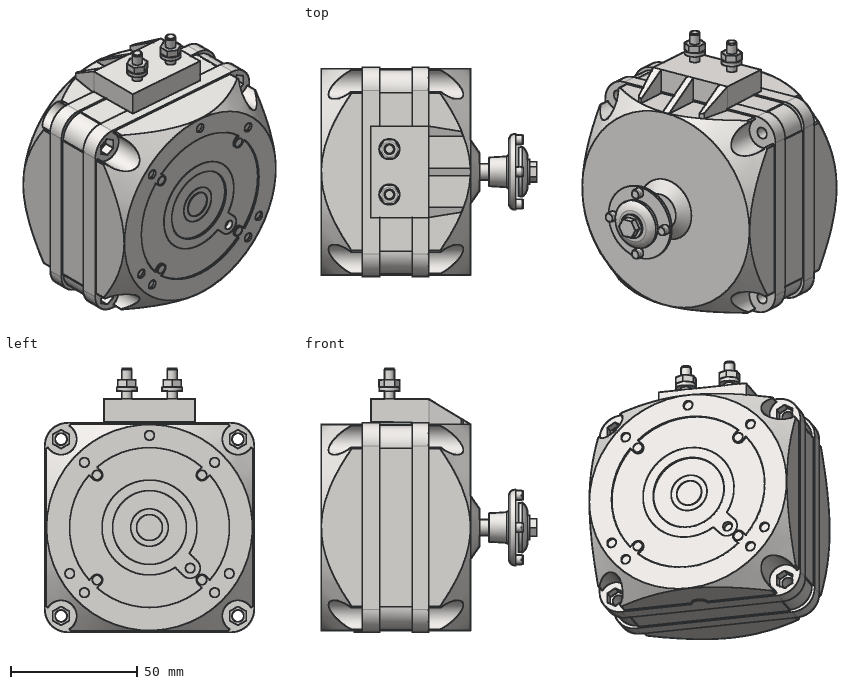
import cadquery as cq
import math


BODY_LENGTH = 59.3
CAP_HALF = 40.9
CONE_RADIUS = 40.8
CONE_GROWTH = 0.88
FLANGE_HALF = 41.5
FLANGE_CORNER = 9.1
REAR_FLANGE_X = (16.3, 23.3)
FRONT_FLANGE_X = (36.1, 42.6)
MIDDLE_HALF = 40.4
MIDDLE_CORNER = 9.1
MIDDLE_FLAT_HALF_WIDTH = MIDDLE_HALF - MIDDLE_CORNER

BOLT_OFFSET = 35.0
BOLT_HOLE_RADIUS = 2.3
BOLT_HEX_FLATS = 6.5
BOLT_HEX_DEPTH = 4.4
SCALLOP_RADIUS = 6.2
RELIEF_INNER = 31.8
RELIEF_CHAMFER = 0.6

MOUNT_CIRCLE = 36.5
MOUNT_ANGLES = (45, 90, 135, 210, 225, 315, 330)
SMALL_HOLE_RADIUS = 1.9
MOUNT_HOLE_DEPTH = 1.0
TAB_HOLE_DEPTH = 0.2
LUG_HOLE_DEPTH = 3.1
RECESS_RADIUS = 31.7
RECESS_DEPTH = 0.8
TAB_CIRCLE = 29.4
TAB_ANGLES = (45, 135, 225, 315)
TAB_RADIUS = 2.2
SEAT_RADIUS = 18.8
SEAT_HEIGHT = 0.1
LUG_CIRCLE = 22.8
LUG_ANGLE = 225
LUG_RADIUS = 4.0
BEARING_POCKET_RADIUS = 14.6
BEARING_POCKET_DEPTH = 0.8
RING_RADIUS = 7.4
RING_HEIGHT = 0.1
SHAFT_RECESS_RADIUS = 5.1
SHAFT_RECESS_DEPTH = 0.3

PAD_RADIUS = 3.2
PAD_HEIGHT = 9.4

BLOCK_REAR_X = 19.8
BLOCK_HALF_WIDTH = 18.1
BLOCK_TOP = 50.9
BLOCK_REAR_BOTTOM = 41.8
RIB_INNER_Y = 14.1
RIB_OUTER_END = (55.5, 16.0)
RIB_INNER_END_X = 56.3
CENTER_RIB_WIDTH = 3.0
RIB_ROOT = 39.7
RIB_ROOT_SETBACK = 2.1

STUD_X = 27.1
STUD_Y = 9.0
STUD_RADIUS = 2.04
STUD_TOP = 63.0
STUD_CHAMFER = (0.6, 0.3)
WASHER_RADIUS = 4.1
WASHER_BOTTOM = 54.0
NUT_BOTTOM = 55.6
NUT_TOP = 58.5
NUT_CORNER_DIAMETER = 8.4
NUT_FACE_RADIUS = 3.0
NUT_CHAMFER_HEIGHT = 0.1

BOSS_END_X = 62.8
HUB_X = 66.4
FLARE_X = 73.5
DISC_X = 74.3
DISC_END_X = 77.1
DOME_X = 78.2
DOME_EDGE_X = 79.7
DOME_END_X = 81.8
COLLAR_END_X = 82.7
SHAFT_END_X = 85.5
SHAFT_RADIUS = 3.2
BOSS_RADII = (12.5, 7.4)
HUB_RADIUS = 5.7
HUB_CHAMFER = 0.3
FLARE_RADII = (6.2, 6.8)
DISC_FACE_RADIUS = 13.1
DISC_BEVEL_END = (74.9, 14.2)
DISC_RIM_MIDDLE = (75.8, 14.8)
DISC_RADIUS = 15.0
DOME_BACK_RADIUS = 9.7
DOME_RADIUS = 9.9
DOME_MIDDLE = (81.0, 8.6)
DOME_END_RADIUS = 6.5
COLLAR_RADIUS = 4.9
END_NUT_CORNER_DIAMETER = 8.0
SPINDLE_RADIUS = 1.6
PIN_CIRCLE = 12.7
PIN_ANGLES = (0, 90, 180, 270)
PIN_RADIUS = 1.93
PIN_TIP_X = 79.2
PIN_END_X = 80.0
PIN_TIP_RADIUS = 1.7


def polar(radius, angle):
    """Point at an angle on a circle around the motor axis, as (y, z)."""
    return (radius * math.cos(math.radians(angle)), radius * math.sin(math.radians(angle)))


def rod(x_start, x_end, radius, points=((0, 0),)):
    """Cylinders along X, one centred on each (y, z) point."""
    section = cq.Workplane("YZ", origin=(x_start, 0, 0)).pushPoints(points).circle(radius)
    return section.extrude(x_end - x_start)


def square_bar(x_start, x_end, half):
    return cq.Workplane("YZ", origin=(x_start, 0, 0)).rect(2 * half, 2 * half).extrude(x_end - x_start)


def rounded_bar(x_range, half, corner):
    return square_bar(*x_range, half).edges("|X").fillet(corner)


def turned(profile):
    """Revolve a closed (x, radius) outline about the motor axis."""
    return profile.close().revolve(360, (0, 0, 0), (1, 0, 0))


BOLT_POINTS = [(y, z) for y in (-BOLT_OFFSET, BOLT_OFFSET) for z in (-BOLT_OFFSET, BOLT_OFFSET)]


def make_corner_relief(depth):
    """Cutter for the cap corner beyond one scallop, widening at 45 degrees at the cap faces."""
    chamfer_start = CAP_HALF - RELIEF_CHAMFER
    chamfer_drop = FLANGE_HALF - chamfer_start
    return (
        cq.Workplane("YZ")
        .moveTo(RELIEF_INNER, RELIEF_INNER)
        .lineTo(chamfer_start, RELIEF_INNER)
        .lineTo(FLANGE_HALF, RELIEF_INNER - chamfer_drop)
        .lineTo(FLANGE_HALF, FLANGE_HALF)
        .lineTo(RELIEF_INNER - chamfer_drop, FLANGE_HALF)
        .lineTo(RELIEF_INNER, chamfer_start)
        .close()
        .extrude(depth)
    )


def make_cap(depth):
    """End cap with its round face at x = 0, growing along +X."""
    cone = turned(
        cq.Workplane("XY")
        .lineTo(0, CONE_RADIUS)
        .lineTo(depth, CONE_RADIUS + CONE_GROWTH * depth)
        .lineTo(depth, 0)
    )
    cap = square_bar(0, depth, CAP_HALF).intersect(cone).cut(rod(0, depth, SCALLOP_RADIUS, BOLT_POINTS))
    relief = make_corner_relief(depth)
    for quarter in range(4):
        cap = cap.cut(relief.rotate((0, 0, 0), (1, 0, 0), 90 * quarter))
    return cap


def make_middle():
    """Round-cornered middle section; its four flats stand slightly proud, level with the caps."""
    start, end = REAR_FLANGE_X[1], FRONT_FLANGE_X[0]
    middle = rounded_bar((start, end), MIDDLE_HALF, MIDDLE_CORNER)
    section = cq.Workplane("YZ", origin=(start, 0, 0))
    tall_flats = section.rect(2 * MIDDLE_FLAT_HALF_WIDTH, 2 * CAP_HALF).extrude(end - start)
    wide_flats = section.rect(2 * CAP_HALF, 2 * MIDDLE_FLAT_HALF_WIDTH).extrude(end - start)
    return middle.union(tall_flats).union(wide_flats)


def make_housing():
    rear_cap = make_cap(REAR_FLANGE_X[0])
    front_cap = make_cap(BODY_LENGTH - FRONT_FLANGE_X[1]).mirror("YZ").translate((BODY_LENGTH, 0, 0))
    housing = make_middle()
    for flange_x in (REAR_FLANGE_X, FRONT_FLANGE_X):
        housing = housing.union(rounded_bar(flange_x, FLANGE_HALF, FLANGE_CORNER))
    pad = (
        cq.Workplane("XY", origin=(REAR_FLANGE_X[0], 0, -FLANGE_HALF))
        .circle(PAD_RADIUS)
        .extrude(PAD_HEIGHT)
    )
    return housing.union(rear_cap).union(front_cap).union(pad)


def cut_bolt_holes(housing):
    hexagon = cq.Sketch().regularPolygon(BOLT_HEX_FLATS / math.sqrt(3), 6)
    hex_pockets = (
        cq.Workplane("YZ", origin=(REAR_FLANGE_X[0], 0, 0))
        .pushPoints(BOLT_POINTS)
        .placeSketch(hexagon)
        .extrude(BOLT_HEX_DEPTH)
    )
    return housing.cut(rod(0, BODY_LENGTH, BOLT_HOLE_RADIUS, BOLT_POINTS)).cut(hex_pockets)


def radial_slot(depth, x_start, angle, inner, outer, radius):
    """Round-ended bar along a radius of the rear face; inner and outer locate the centres of its ends."""
    return (
        cq.Workplane("YZ", origin=(x_start, 0, 0))
        .transformed(rotate=(0, 0, angle))
        .center((inner + outer) / 2, 0)
        .slot2D(outer - inner + 2 * radius, 2 * radius)
        .extrude(depth)
    )


def cut_rear_face(housing):
    recess = rod(0, RECESS_DEPTH, RECESS_RADIUS)
    seat_x = RECESS_DEPTH - SEAT_HEIGHT
    lug = radial_slot(SEAT_HEIGHT, seat_x, LUG_ANGLE, 0, LUG_CIRCLE, LUG_RADIUS)
    recess = recess.cut(rod(seat_x, RECESS_DEPTH, SEAT_RADIUS)).cut(lug)
    for angle in TAB_ANGLES:
        recess = recess.cut(radial_slot(RECESS_DEPTH, 0, angle, TAB_CIRCLE, MOUNT_CIRCLE, TAB_RADIUS))

    pocket_x = seat_x + BEARING_POCKET_DEPTH
    pocket = rod(seat_x, pocket_x, BEARING_POCKET_RADIUS)
    ring = rod(pocket_x - RING_HEIGHT, pocket_x, RING_RADIUS)
    shaft_recess = rod(0, pocket_x - RING_HEIGHT + SHAFT_RECESS_DEPTH, SHAFT_RECESS_RADIUS)

    mount_points = [polar(MOUNT_CIRCLE, angle) for angle in MOUNT_ANGLES]
    mount_holes = rod(0, MOUNT_HOLE_DEPTH, SMALL_HOLE_RADIUS, mount_points)
    tab_points = [polar(TAB_CIRCLE, angle) for angle in TAB_ANGLES]
    tab_holes = rod(0, TAB_HOLE_DEPTH, SMALL_HOLE_RADIUS, tab_points)
    lug_hole = rod(0, LUG_HOLE_DEPTH, SMALL_HOLE_RADIUS, [polar(LUG_CIRCLE, LUG_ANGLE)])

    for cutter in (recess, pocket.cut(ring), shaft_recess, mount_holes, tab_holes, lug_hole):
        housing = housing.cut(cutter)
    return housing


def make_terminal_block():
    block_front = FRONT_FLANGE_X[1]
    block = (
        cq.Workplane("XZ")
        .moveTo(BLOCK_REAR_X, BLOCK_REAR_BOTTOM)
        .lineTo(BLOCK_REAR_X, BLOCK_TOP)
        .lineTo(block_front, BLOCK_TOP)
        .lineTo(block_front, FLANGE_HALF)
        .close()
        .extrude(BLOCK_HALF_WIDTH, both=True)
    )
    slope = (
        cq.Workplane("XZ")
        .moveTo(block_front, RIB_ROOT)
        .lineTo(block_front, BLOCK_TOP)
        .lineTo(BODY_LENGTH, CAP_HALF)
        .lineTo(BODY_LENGTH - RIB_ROOT_SETBACK, RIB_ROOT)
        .close()
        .extrude(BLOCK_HALF_WIDTH, both=True)
    )
    side_rib = (
        cq.Workplane("XY", origin=(0, 0, RIB_ROOT))
        .moveTo(block_front, RIB_INNER_Y)
        .lineTo(RIB_INNER_END_X, RIB_INNER_Y)
        .lineTo(*RIB_OUTER_END)
        .lineTo(block_front, BLOCK_HALF_WIDTH)
        .close()
        .extrude(BLOCK_TOP - RIB_ROOT)
    )
    center_rib = (
        cq.Workplane("XY", origin=(block_front, 0, RIB_ROOT))
        .rect(2 * (BODY_LENGTH - block_front), CENTER_RIB_WIDTH)
        .extrude(BLOCK_TOP - RIB_ROOT)
    )
    ribs = side_rib.union(side_rib.mirror("XZ")).union(center_rib)
    return block.union(ribs.intersect(slope))


STUD_POINTS = [(STUD_X, -STUD_Y), (STUD_X, STUD_Y)]


def make_studs():
    chamfer_height, chamfer_width = STUD_CHAMFER
    return (
        cq.Workplane("XY", origin=(0, 0, BLOCK_TOP))
        .pushPoints(STUD_POINTS)
        .circle(STUD_RADIUS)
        .extrude(STUD_TOP - BLOCK_TOP)
        .faces(">Z")
        .chamfer(chamfer_height, chamfer_width)
    )


def make_shaft():
    """Boss, shaft, hub with its disc, dome and collar turned about the motor axis."""
    return turned(
        cq.Workplane("XY")
        .moveTo(BODY_LENGTH, 0)
        .lineTo(BODY_LENGTH, BOSS_RADII[0])
        .lineTo(BOSS_END_X, BOSS_RADII[1])
        .lineTo(BOSS_END_X, SHAFT_RADIUS)
        .lineTo(HUB_X, SHAFT_RADIUS)
        .lineTo(HUB_X, HUB_RADIUS - HUB_CHAMFER)
        .lineTo(HUB_X + HUB_CHAMFER, HUB_RADIUS)
        .lineTo(FLARE_X, FLARE_RADII[0])
        .lineTo(DISC_X, FLARE_RADII[1])
        .lineTo(DISC_X, DISC_FACE_RADIUS)
        .lineTo(*DISC_BEVEL_END)
        .threePointArc(DISC_RIM_MIDDLE, (DISC_END_X, DISC_RADIUS))
        .lineTo(DISC_END_X, SPINDLE_RADIUS)
        .lineTo(DOME_X, SPINDLE_RADIUS)
        .lineTo(DOME_X, DOME_BACK_RADIUS)
        .lineTo(DOME_EDGE_X, DOME_RADIUS)
        .threePointArc(DOME_MIDDLE, (DOME_END_X, DOME_END_RADIUS))
        .lineTo(DOME_END_X, COLLAR_RADIUS)
        .lineTo(COLLAR_END_X, COLLAR_RADIUS)
        .lineTo(COLLAR_END_X, 0)
    )


def make_drive_pins():
    pin = turned(
        cq.Workplane("XY")
        .moveTo(DISC_END_X, 0)
        .lineTo(DISC_END_X, PIN_RADIUS)
        .lineTo(PIN_TIP_X, PIN_RADIUS)
        .lineTo(PIN_END_X, PIN_TIP_RADIUS)
        .lineTo(PIN_END_X, 0)
    )
    return [pin.translate((0, *polar(PIN_CIRCLE, angle))) for angle in PIN_ANGLES]


def make_motor():
    motor = cut_rear_face(cut_bolt_holes(make_housing()))
    end_nut = (
        cq.Workplane("YZ", origin=(COLLAR_END_X, 0, 0))
        .polygon(6, END_NUT_CORNER_DIAMETER)
        .extrude(SHAFT_END_X - COLLAR_END_X)
    )
    for feature in (make_terminal_block(), make_studs(), make_shaft(), end_nut, *make_drive_pins()):
        motor = motor.union(feature)
    return motor


def make_nut(x, y):
    """Hexagon nut with a washer base, bored to fit its stud."""
    height = NUT_TOP - NUT_BOTTOM
    corner_radius = NUT_CORNER_DIAMETER / 2
    hexagon = cq.Workplane("XY").polygon(6, NUT_CORNER_DIAMETER).extrude(height)
    chamfered = (
        cq.Workplane("XZ")
        .lineTo(NUT_FACE_RADIUS, 0)
        .lineTo(corner_radius, NUT_CHAMFER_HEIGHT)
        .lineTo(corner_radius, height - NUT_CHAMFER_HEIGHT)
        .lineTo(NUT_FACE_RADIUS, height)
        .lineTo(0, height)
        .close()
        .revolve(360, (0, 0, 0), (0, 1, 0))
    )
    nut = hexagon.intersect(chamfered)
    washer_height = NUT_BOTTOM - WASHER_BOTTOM
    washer = cq.Workplane("XY").circle(WASHER_RADIUS).extrude(-washer_height)
    bore = cq.Workplane("XY").circle(STUD_RADIUS).extrude(height, both=True)
    return nut.union(washer).cut(bore).translate((x, y, NUT_BOTTOM))


motor = make_motor()
nuts = [make_nut(x, y) for x, y in STUD_POINTS]
result = cq.Compound.makeCompound([motor.val(), *[nut.val() for nut in nuts]])